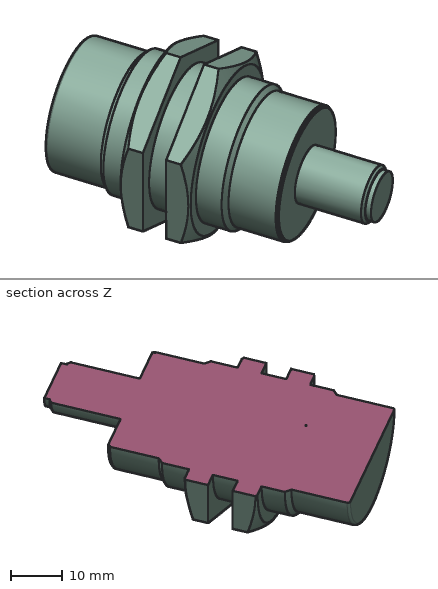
import cadquery as cq
import math

total_length = 66.0
body_diameter = 28.0
body_length = 50.0
front_edge_radius = 0.5
rear_rim_diameter = 27.5
rear_rim_width = 0.5
rear_rim_chamfer = 0.2

sleeve_diameter = 30.0
sleeve_start = 12.0
sleeve_end = 39.4
sleeve_chamfer = (sleeve_diameter - body_diameter) / 2

stub_diameter = 12.0
stub_tip_diameter = 10.4
stub_tip_length = 1.2
stub_chamfer = 0.6

nut_across_flats = 36.0
nut_across_corners = nut_across_flats / math.cos(math.radians(30))
nut_thickness = 5.0
nut_face_diameter = 35.0
nut_chamfer_angle = 30.0
front_nut_outer_face = 17.8
rear_nut_outer_face = 32.9


def cylinder(start, end, diameter):
    """Solid cylinder on the X axis between two X positions."""
    return cq.Workplane("YZ", origin=(start, 0, 0)).circle(diameter / 2).extrude(end - start)


def make_body():
    """Main barrel with a rounded front edge and a narrow, stepped and bevelled rear rim."""
    rim_start = body_length - rear_rim_width
    barrel = cylinder(0, rim_start, body_diameter)
    barrel = barrel.faces("<X").edges().fillet(front_edge_radius)
    rim = cylinder(rim_start, body_length, rear_rim_diameter)
    rim = rim.faces(">X").edges().chamfer(rear_rim_chamfer)
    return barrel.union(rim)


def make_sleeve():
    """Threaded sleeve, bevelled down to the barrel at both ends."""
    sleeve = cylinder(sleeve_start, sleeve_end, sleeve_diameter)
    return sleeve.faces("<X or >X").edges().chamfer(sleeve_chamfer)


def make_stub():
    """Connector stub with a bevelled shoulder and a smaller tip."""
    shoulder = total_length - stub_tip_length
    stub = cylinder(body_length, shoulder, stub_diameter).faces(">X").edges().chamfer(stub_chamfer)
    return stub.union(cylinder(shoulder, total_length, stub_tip_diameter))


def make_nut(outer_face, direction):
    """Hexagon nut extending from its chamfered outer face along +X (1) or -X (-1)."""
    face_radius = nut_face_diameter / 2
    cone_growth = nut_thickness / math.tan(math.radians(nut_chamfer_angle))
    inner_face = outer_face + direction * nut_thickness
    hexagon = (
        cq.Workplane("YZ", origin=(min(outer_face, inner_face), 0, 0))
        .transformed(rotate=(0, 0, 90))
        .polygon(6, nut_across_corners)
        .extrude(nut_thickness)
    )
    chamfer_cone = (
        cq.Workplane("XY")
        .polyline([
            (outer_face, 0),
            (outer_face, face_radius),
            (inner_face, face_radius + cone_growth),
            (inner_face, 0),
        ])
        .close()
        .revolve(360, (0, 0, 0), (1, 0, 0))
    )
    return hexagon.intersect(chamfer_cone)


result = make_body().union(make_sleeve()).union(make_stub())
result = result.union(make_nut(front_nut_outer_face, 1))
result = result.union(make_nut(rear_nut_outer_face, -1))